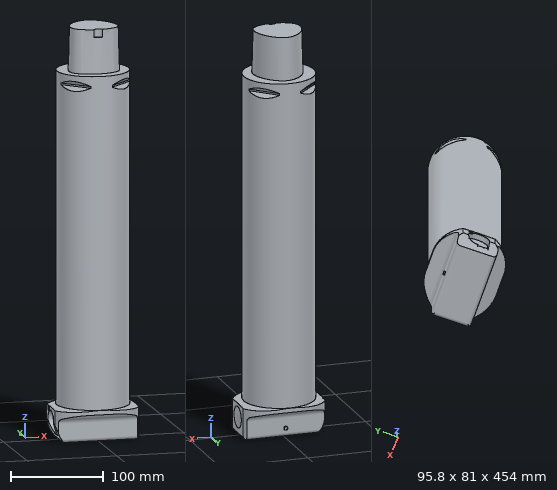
import cadquery as cq
import math

TOTAL_LENGTH = 454.0

SHANK_LENGTH = 48.5
SHANK_BASE_RADIUS = 27.5
SHANK_TAPER = 1 / 40
LOBE_HEIGHT = 1.73
LOBE_COUNT = 3
LOBE_DIRECTION = math.pi / 2
KEY_DIAMETER = 10.0
KEY_OFFSET = 26.5
KEY_DEPTH = 8.5

BAR_DIAMETER = 80.0
GROOVE_COUNT = 4
GROOVE_BELOW_SHOULDER = 12.0
GROOVE_DEPTH = 4.5
GROOVE_FLOOR_HEIGHT = 2.0

HEAD_TOP = 38.0
HEAD_TOP_SLOPE = 15
HEAD_WIDTH = 81.0
HEAD_FLAT = 46.8
HEAD_ARC_DIAMETER = 81.3
HEAD_ARC_OFFSET = 10.5

BLADE_THICKNESS = 45.5
HEAD_RIM_BOTTOM = 33.0
UNDERSIDE_SLOPE = 22
UNDERSIDE_FILLET = 7.0
BOTTOM_FILLET = 4.0

RELIEF_TOP = 19.5
RELIEF_KNEE_HEIGHT = 7.0
RELIEF_KNEE_INSET = 4.5
RELIEF_FOOT_INSET = 9.0

PIN_DIAMETER = 24.0
PIN_HEIGHT = 20.5
PIN_RECESS = 6.5
PIN_TIP = 49.0

SMALL_HOLE_DIAMETER = 3.45
SMALL_HOLE_DEPTH = 4.5
SMALL_HOLE_MOUTH_DIAMETER = 4.5
SMALL_HOLE_MOUTH_DEPTH = 1.5
SMALL_HOLE_Y = 9.0
SMALL_HOLE_HEIGHT = 32.5

BUTTON_DIAMETER = 4.0
BUTTON_RISE = 1.5
BUTTON_HEIGHT = 10.0

SHOULDER = TOTAL_LENGTH - SHANK_LENGTH
SHANK_TOP_RADIUS = SHANK_BASE_RADIUS - SHANK_TAPER * SHANK_LENGTH
BAR_RADIUS = BAR_DIAMETER / 2
GROOVE_HEIGHT = SHOULDER - GROOVE_BELOW_SHOULDER
HEAD_REACH = HEAD_ARC_OFFSET + HEAD_ARC_DIAMETER / 2
PIN_RADIUS = PIN_DIAMETER / 2
PIN_END = -HEAD_FLAT + PIN_RECESS


def lobe_point(angle, mean_radius):
    """Point of the constant-width lobed outline whose normal points at the angle."""
    phase = LOBE_COUNT * (angle - LOBE_DIRECTION)
    reach = mean_radius + LOBE_HEIGHT * math.cos(phase)
    reach_change = -LOBE_COUNT * LOBE_HEIGHT * math.sin(phase)
    x = reach * math.cos(angle) - reach_change * math.sin(angle)
    y = reach * math.sin(angle) + reach_change * math.cos(angle)
    return cq.Vector(x, y)


def lobed_wire(mean_radius, height):
    """Closed outline of lobe and flank curves that alternate around the axis."""
    curve_count = 2 * LOBE_COUNT
    points_per_curve = 9
    span = 2 * math.pi / curve_count
    curves = []
    for index in range(curve_count):
        angles = [span * (index + step / (points_per_curve - 1)) for step in range(points_per_curve)]
        curves.append(cq.Edge.makeSpline([lobe_point(angle, mean_radius) for angle in angles]))
    return cq.Wire.assembleEdges(curves).translate(cq.Vector(0, 0, height))


def make_shank():
    base = lobed_wire(SHANK_BASE_RADIUS, SHOULDER)
    top = lobed_wire(SHANK_TOP_RADIUS, TOTAL_LENGTH)
    shank = cq.Workplane(cq.Solid.makeLoft([base, top], True))
    key = (
        cq.Workplane(origin=(0, -KEY_OFFSET, TOTAL_LENGTH - KEY_DEPTH))
        .circle(KEY_DIAMETER / 2)
        .extrude(KEY_DEPTH)
    )
    return shank.cut(key)


def make_groove():
    """Straight cutter on the +X side, with a flat floor and 45-degree flanks."""
    floor_x = BAR_RADIUS - GROOVE_DEPTH
    floor_half = GROOVE_FLOOR_HEIGHT / 2
    mouth_half = floor_half + GROOVE_DEPTH
    return (
        cq.Workplane("XZ", origin=(0, 0, GROOVE_HEIGHT))
        .moveTo(floor_x, -floor_half)
        .lineTo(BAR_RADIUS, -mouth_half)
        .lineTo(BAR_RADIUS, mouth_half)
        .lineTo(floor_x, floor_half)
        .close()
        .extrude(BAR_RADIUS, both=True)
    )


def make_bar():
    bar = cq.Workplane(origin=(0, 0, HEAD_TOP)).circle(BAR_RADIUS).extrude(SHOULDER - HEAD_TOP)
    pitch = 360 / GROOVE_COUNT
    for index in range(GROOVE_COUNT):
        bar = bar.cut(make_groove().rotate((0, 0, 0), (0, 0, 1), pitch * (index + 0.5)))
    return bar


def head_plan():
    """Rounded plan of the head."""
    return cq.Workplane().slot2D(2 * HEAD_REACH, HEAD_ARC_DIAMETER).extrude(HEAD_TOP)


def head_cone():
    """Turned envelope that slopes the top of the head away from the bar."""
    rim_height = HEAD_TOP - (HEAD_REACH - BAR_RADIUS) * math.tan(math.radians(HEAD_TOP_SLOPE))
    return (
        cq.Workplane("XZ")
        .lineTo(HEAD_REACH, 0)
        .lineTo(HEAD_REACH, rim_height)
        .lineTo(BAR_RADIUS, HEAD_TOP)
        .lineTo(0, HEAD_TOP)
        .close()
        .revolve(360, (0, 0, 0), (0, 1, 0))
    )


def blade_profile():
    """Blade and head seen along X, with the filleted slope between them."""
    half_blade = BLADE_THICKNESS / 2
    half_head = HEAD_WIDTH / 2
    slope_drop = (half_head - half_blade) * math.tan(math.radians(UNDERSIDE_SLOPE))
    corner_height = HEAD_RIM_BOTTOM - slope_drop
    profile = (
        cq.Workplane("YZ")
        .moveTo(-half_blade, 0)
        .lineTo(half_blade, 0)
        .lineTo(half_blade, corner_height)
        .lineTo(half_head, HEAD_RIM_BOTTOM)
        .lineTo(half_head, HEAD_TOP)
        .lineTo(-half_head, HEAD_TOP)
        .lineTo(-half_head, HEAD_RIM_BOTTOM)
        .lineTo(-half_blade, corner_height)
        .close()
        .extrude(HEAD_REACH, both=True)
    )
    corners = cq.selectors.BoxSelector(
        (-HEAD_REACH, -half_head, corner_height / 2),
        (HEAD_REACH, half_head, (corner_height + HEAD_RIM_BOTTOM) / 2),
    )
    profile = profile.edges("|X").edges(corners).fillet(UNDERSIDE_FILLET)
    return profile.faces("<Z").edges("|X").fillet(BOTTOM_FILLET)


def end_profile():
    """Head and blade seen along Y: end flats, -X relief and rounded +X bottom edge."""
    knee_x = -HEAD_FLAT + RELIEF_KNEE_INSET
    foot_x = -HEAD_FLAT + RELIEF_FOOT_INSET
    return (
        cq.Workplane("XZ")
        .moveTo(foot_x, 0)
        .lineTo(HEAD_FLAT - BOTTOM_FILLET, 0)
        .radiusArc((HEAD_FLAT, BOTTOM_FILLET), -BOTTOM_FILLET)
        .lineTo(HEAD_FLAT, HEAD_TOP)
        .lineTo(-HEAD_FLAT, HEAD_TOP)
        .lineTo(-HEAD_FLAT, RELIEF_TOP)
        .lineTo(knee_x, RELIEF_KNEE_HEIGHT)
        .close()
        .extrude(HEAD_WIDTH / 2, both=True)
    )


def pin_bore():
    """Through bore for the pin."""
    return (
        cq.Workplane("YZ", origin=(-HEAD_REACH, 0, PIN_HEIGHT))
        .circle(PIN_RADIUS)
        .extrude(2 * HEAD_REACH)
    )


def bore_notch():
    """Square corner that opens the recess below the bore on its -Y side."""
    return cq.Workplane().box(
        PIN_END + HEAD_REACH,
        PIN_RADIUS,
        PIN_HEIGHT - RELIEF_KNEE_HEIGHT,
        centered=False,
    ).translate((-HEAD_REACH, -PIN_RADIUS, RELIEF_KNEE_HEIGHT))


def small_hole():
    """Stepped hole cutter, wider at the flat."""
    start = cq.Workplane("YZ", origin=(-HEAD_FLAT, SMALL_HOLE_Y, SMALL_HOLE_HEIGHT))
    hole = start.circle(SMALL_HOLE_DIAMETER / 2).extrude(SMALL_HOLE_DEPTH)
    mouth = start.circle(SMALL_HOLE_MOUTH_DIAMETER / 2).extrude(SMALL_HOLE_MOUTH_DEPTH)
    return hole.union(mouth)


def make_button():
    """Button that starts inside the blade, clear of the pin bore, so that it joins fully."""
    face_y = BLADE_THICKNESS / 2
    return (
        cq.Workplane("XZ", origin=(0, face_y + BUTTON_RISE, BUTTON_HEIGHT))
        .circle(BUTTON_DIAMETER / 2)
        .extrude(2 * BUTTON_RISE)
    )


def make_head():
    head = head_plan().intersect(head_cone()).intersect(blade_profile()).intersect(end_profile())
    head = head.union(make_button())
    return head.cut(pin_bore()).cut(bore_notch()).cut(small_hole())


def make_holder():
    """Shank, bar and head as one body."""
    return make_head().union(make_bar()).union(make_shank())


def make_pin():
    """Cross pin: flat and recessed at -X, domed beyond the flat at +X."""
    dome_middle_y = PIN_RADIUS / 2
    dome_height = PIN_TIP - HEAD_FLAT
    sphere_radius = (PIN_RADIUS**2 + dome_height**2) / (2 * dome_height)
    dome_middle_x = PIN_TIP - sphere_radius + math.sqrt(sphere_radius**2 - dome_middle_y**2)
    return (
        cq.Workplane("XY")
        .moveTo(PIN_END, 0)
        .lineTo(PIN_END, PIN_RADIUS)
        .lineTo(HEAD_FLAT, PIN_RADIUS)
        .threePointArc((dome_middle_x, dome_middle_y), (PIN_TIP, 0))
        .close()
        .revolve(360, (0, 0, 0), (1, 0, 0))
        .translate((0, 0, PIN_HEIGHT))
    )


holder = make_holder()
pin = make_pin()
result = cq.Compound.makeCompound([holder.solids().val(), pin.val()])